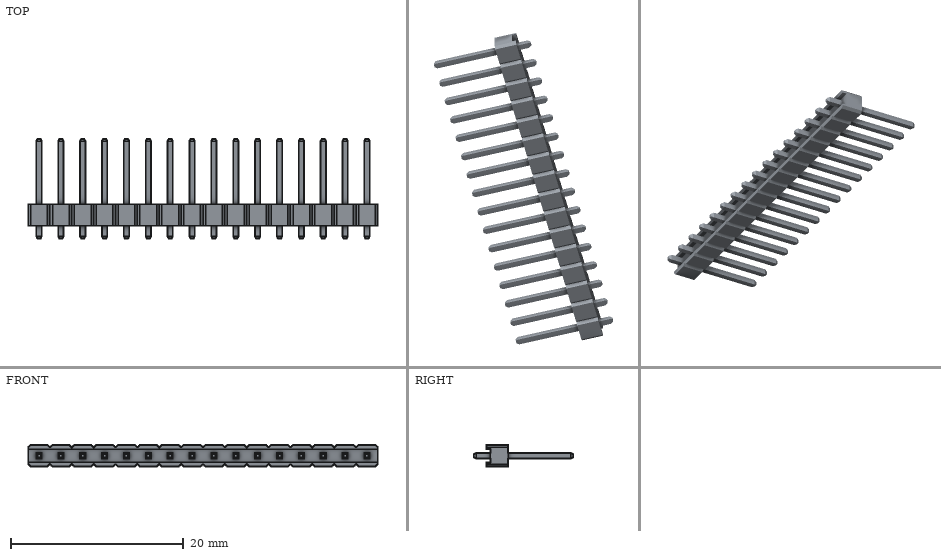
import cadquery as cq

pin_count = 16
pitch = 2.54
row_length = pin_count * pitch

body_height = 2.54
body_depth = 2.54
corner_width = 0.3
corner_height = 0.3
channel_height = 1.54
channel_depth = 0.48

pin_width = 0.65
pin_length = 11.6
short_pin_reach = 1.48
tip_length = 0.3
tip_width = 0.35


def make_body_segment(center_x):
    """Octagonal block holding one pin; its bevels form V grooves with its neighbours."""
    half_width = pitch / 2
    half_height = body_height / 2
    flat_x = half_width - corner_width
    side_z = half_height - corner_height
    outline = [
        (-flat_x, -half_height),
        (flat_x, -half_height),
        (half_width, -side_z),
        (half_width, side_z),
        (flat_x, half_height),
        (-flat_x, half_height),
        (-half_width, side_z),
        (-half_width, -side_z),
    ]
    segment = cq.Workplane("XZ").polyline(outline).close().extrude(-body_depth)
    return segment.translate((center_x, 0, 0))


def make_channel():
    """Slot cut into the -Y face along the whole row."""
    return cq.Workplane("XY").box(
        row_length, channel_depth, channel_height, centered=(True, False, True)
    )


def make_tip(base_y, end_y):
    """Square frustum narrowing from the pin section at base_y to the tip at end_y."""
    return (
        cq.Workplane("XZ", origin=(0, base_y, 0))
        .rect(pin_width, pin_width)
        .workplane(offset=base_y - end_y)
        .rect(tip_width, tip_width)
        .loft(ruled=True)
    )


def make_pin(center_x):
    """Square pin with a tapered tip at both ends."""
    front_y = -short_pin_reach
    back_y = front_y + pin_length
    shank_front_y = front_y + tip_length
    shank_back_y = back_y - tip_length
    shank = cq.Workplane("XY").box(
        pin_width, shank_back_y - shank_front_y, pin_width, centered=(True, False, True)
    ).translate((0, shank_front_y, 0))
    pin = shank.union(make_tip(shank_front_y, front_y)).union(make_tip(shank_back_y, back_y))
    return pin.translate((center_x, 0, 0))


pin_positions = [(index - (pin_count - 1) / 2) * pitch for index in range(pin_count)]

body = make_body_segment(pin_positions[0])
for position in pin_positions[1:]:
    body = body.union(make_body_segment(position))
body = body.cut(make_channel()).clean()

result = body
for position in pin_positions:
    result = result.union(make_pin(position))